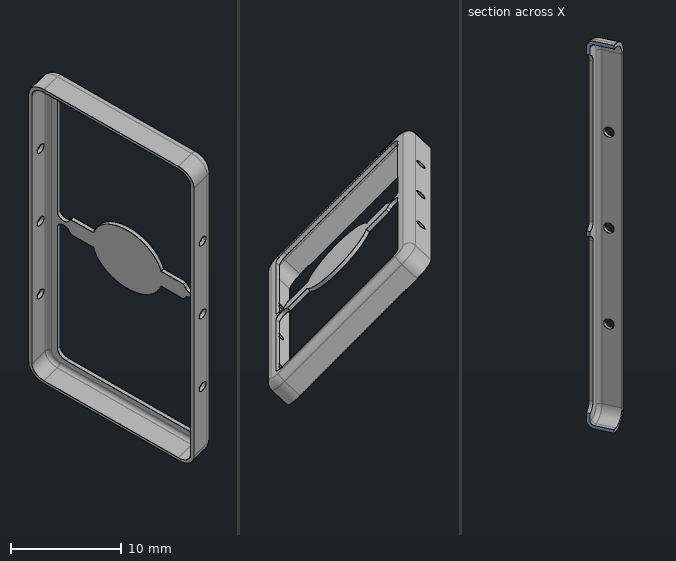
import cadquery as cq
import math

width = 18.9
depth = 2.8
height = 40.5
corner_radius = 1.8
floor_edge_radius = 0.8
wall = 0.4

rim = 1.5
window_corner_radius = 1.0

disc_diameter = 8.0
bar_height = 2.05
neck_height = 0.6
notch_radius = 0.7
notch_mouth_flare = 0.12
flare_angle = math.radians(30)

hole_diameter = 1.0
hole_spacing = 10.0
hole_from_front = 1.3
hole_count = 3

back = depth / 2
front = -back
floor_front = back - wall
window_width = width - 2 * rim
window_height = height - 2 * rim


def rounded_block(size_x, size_z, radius, y_start, y_end):
    """Block along Y whose four Y-parallel edges are rounded."""
    return (
        cq.Workplane("XZ", origin=(0, y_start, 0))
        .rect(size_x, size_z)
        .extrude(y_start - y_end)
        .edges("|Y")
        .fillet(radius)
    )


def make_tray():
    outer = rounded_block(width, height, corner_radius, front, back)
    outer = outer.faces(">Y").edges().fillet(floor_edge_radius)
    cavity = rounded_block(
        width - 2 * wall, height - 2 * wall, corner_radius - wall, front, floor_front
    )
    cavity = cavity.faces(">Y").edges().fillet(floor_edge_radius - wall)
    window = rounded_block(window_width, window_height, window_corner_radius, floor_front, back)
    return outer.cut(cavity).cut(window)


def floor_plane():
    return cq.Workplane("XZ", origin=(0, floor_front, 0))


def make_notch(side, end):
    """Cutter beside one neck: a round-bottomed notch with a flared mouth towards the disc."""
    center_x = window_width / 2 - notch_radius
    center_z = neck_height / 2 + notch_radius
    bar_edge = bar_height / 2
    flare_x = center_x - notch_radius * math.cos(flare_angle)
    flare_z = center_z - notch_radius * math.sin(flare_angle)
    mouth_x = center_x - notch_radius - notch_mouth_flare
    return (
        floor_plane()
        .moveTo(side * window_width / 2, end * bar_edge)
        .lineTo(side * window_width / 2, end * center_z)
        .threePointArc(
            (side * center_x, end * neck_height / 2),
            (side * flare_x, end * flare_z),
        )
        .lineTo(side * mouth_x, end * bar_edge)
        .close()
        .extrude(-wall)
    )


def make_disc_and_bar():
    bar = floor_plane().rect(window_width, bar_height).extrude(-wall)
    for side in (-1, 1):
        for end in (-1, 1):
            bar = bar.cut(make_notch(side, end))
    disc = floor_plane().circle(disc_diameter / 2).extrude(-wall)
    return bar.union(disc)


def make_pin_holes():
    return (
        cq.Workplane("YZ", origin=(-width / 2, front + hole_from_front, 0))
        .rarray(0.4, hole_spacing, 1, hole_count)
        .circle(hole_diameter / 2)
        .extrude(width)
    )


result = make_tray().union(make_disc_and_bar()).cut(make_pin_holes())